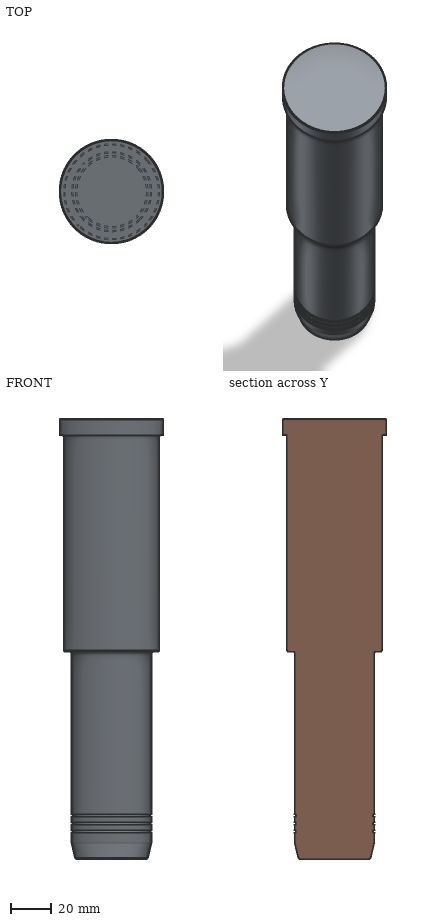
import cadquery as cq

total_length = 220.0
head_height = 8.1
shoulder_z = 103.6
tip_height = 8.4

head_radius = 26.0
body_radius = 24.0
shank_radius = 20.0
tip_radius = 18.0

head_chamfer = 0.5
shoulder_chamfer = 0.7
end_chamfer = 0.7
root_fillet = 0.7

groove_count = 3
groove_pitch = 4.0
groove_width = 1.3
groove_depth = 0.7
lowest_groove_z = 13.9


def cylinder(radius, bottom_z, top_z):
    """Solid cylinder on the pin axis."""
    return cq.Workplane("XY").workplane(offset=bottom_z).circle(radius).extrude(top_z - bottom_z)


def root_ring(radius, step_z):
    """Concave fillet between a cylinder and the flat step above it."""
    return (
        cq.Workplane("XZ")
        .moveTo(0, step_z)
        .lineTo(radius + root_fillet, step_z)
        .radiusArc((radius, step_z - root_fillet), -root_fillet)
        .lineTo(0, step_z - root_fillet)
        .close()
        .revolve(360, (0, 0, 0), (0, 1, 0))
    )


def groove_ring(center_z):
    """Ring with a rounded section that cuts one groove into the shank."""
    return (
        cq.Workplane("XZ")
        .moveTo(shank_radius, center_z - groove_width / 2)
        .threePointArc(
            (shank_radius - groove_depth, center_z),
            (shank_radius, center_z + groove_width / 2),
        )
        .close()
        .revolve(360, (0, 0, 0), (0, 1, 0))
    )


head_bottom_z = total_length - head_height
tip = (
    cq.Workplane("XY")
    .circle(tip_radius)
    .workplane(offset=tip_height)
    .circle(shank_radius)
    .loft(ruled=True)
    .faces("<Z")
    .chamfer(end_chamfer)
)
shank = cylinder(shank_radius, tip_height, shoulder_z)
body = cylinder(body_radius, shoulder_z, head_bottom_z).faces("<Z").chamfer(shoulder_chamfer)
head = cylinder(head_radius, head_bottom_z, total_length).faces(">Z").chamfer(head_chamfer)
result = tip.union(shank).union(body).union(head)

for radius, step_z in ((shank_radius, shoulder_z), (body_radius, head_bottom_z)):
    result = result.union(root_ring(radius, step_z))

for index in range(groove_count):
    result = result.cut(groove_ring(lowest_groove_z + index * groove_pitch))